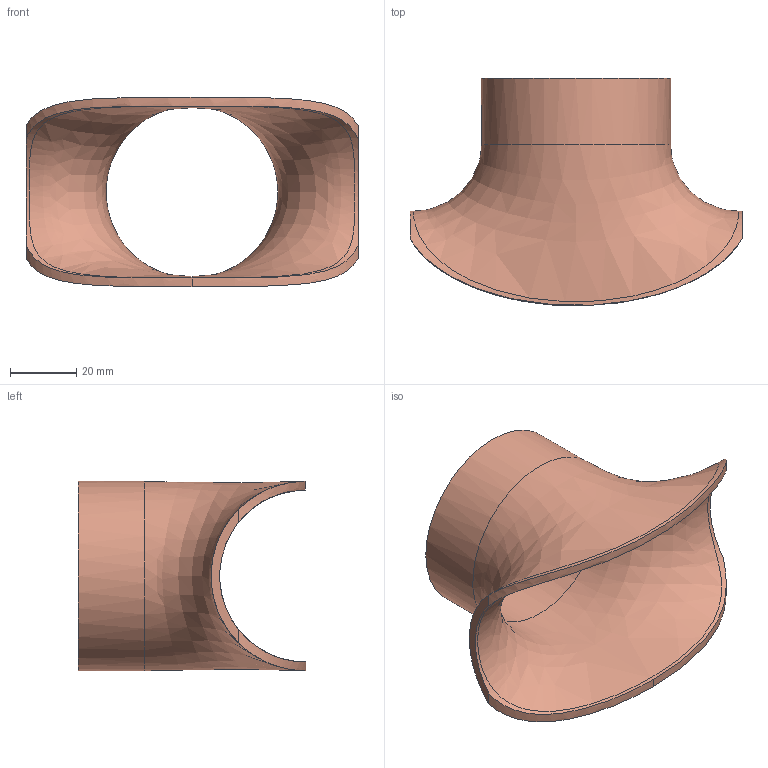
import cadquery as cq
import math

OUTER_DIAMETER = 57.0
BORE_DIAMETER = 51.8
LENGTH = 100.0
HEIGHT = 68.5
COLLAR_LENGTH = 20.0
FLARE_END_X = 49.0
RIM_HALF_LENGTH = 52.2
RIM_MARGIN = 1.1

OUTER_RADIUS = OUTER_DIAMETER / 2
BORE_RADIUS = BORE_DIAMETER / 2
COLLAR_START = HEIGHT - COLLAR_LENGTH
QUARTER_ARC_HANDLE = 4 / 3 * (math.sqrt(2) - 1)
SECTION_COUNT = 64
JOIN_TOLERANCE = 0.001


def main_pipe_point(x, y, radius, angle):
    """Point on the main pipe at x and y, above or below its axis like the angle."""
    z = math.sqrt(max(radius**2 - y**2, 0.0))
    return cq.Vector(x, y, math.copysign(z, math.sin(angle)))


def flare_end_point(angle, radius):
    """Point of the elliptical line along which the flare runs into the main pipe."""
    drop = math.sin(angle) ** 2
    x = FLARE_END_X * math.cos(angle) * math.sqrt(1 + drop)
    y = radius - (radius - RIM_MARGIN) * drop
    return main_pipe_point(x, y, radius, angle)


def rim_x(y, angle):
    """X of the elliptical rim at a given y."""
    x = RIM_HALF_LENGTH * math.sqrt(max(1 - (1 - y / OUTER_RADIUS) ** 2, 0.0))
    return math.copysign(x, math.cos(angle))


def rim_point(angle, radius):
    """Rim point on the main pipe; the rim is cut parallel to Z."""
    y = radius * math.cos(angle) ** 2
    return main_pipe_point(rim_x(y, angle), y, radius, angle)


def flare_curve(angle, radius):
    """Curve from the collar to the flare end, tangent to both tubes."""
    start = cq.Vector(radius * math.cos(angle), COLLAR_START, radius * math.sin(angle))
    end = flare_end_point(angle, radius)
    down = cq.Vector(0, -1, 0)
    outward = cq.Vector(
        math.cos(angle),
        -abs(math.sin(angle) * end.z) / radius,
        math.sin(angle) * end.y / radius,
    )
    start_handle = QUARTER_ARC_HANDLE * (start.y - end.y)
    end_handle = QUARTER_ARC_HANDLE * (end - start).dot(outward)
    return cq.Edge.makeBezier([start, start + down * start_handle, end - outward * end_handle, end])


def saddle_curve(angle, radius):
    """Curve on the main pipe from the flare end to the rim."""
    start = flare_end_point(angle, radius)
    end = rim_point(angle, radius)
    middle_y = (start.y + end.y) / 2
    middle_x = (start.x + end.x) / 2
    middle = main_pipe_point(middle_x, middle_y, radius, angle)
    return cq.Edge.makeBezier([start, middle * 2 - (start + end) * 0.5, end])


def wall_section(angle):
    """Closed outline of the flared wall at one angle around the branch."""
    outer_flare = flare_curve(angle, OUTER_RADIUS)
    outer_saddle = saddle_curve(angle, OUTER_RADIUS)
    inner_flare = flare_curve(angle, BORE_RADIUS)
    inner_saddle = saddle_curve(angle, BORE_RADIUS)
    rim = cq.Edge.makeLine(outer_saddle.endPoint(), inner_saddle.endPoint())
    collar_face = cq.Edge.makeLine(inner_flare.startPoint(), outer_flare.startPoint())
    return cq.Wire.assembleEdges(
        [outer_flare, outer_saddle, rim, inner_saddle, inner_flare, collar_face]
    )


def make_flare():
    """Flared wall lofted once around the branch, with its two ends cut flat."""
    step = 2 * math.pi / SECTION_COUNT
    sections = [wall_section(-math.pi / 2 + i * step) for i in range(SECTION_COUNT)]
    wall = cq.Solid.makeLoft(sections + sections[:1])
    envelope = cq.Workplane("XY").box(LENGTH, 2 * HEIGHT, 2 * OUTER_DIAMETER)
    return cq.Workplane(wall).intersect(envelope)


def make_collar():
    """Straight tube that carries the branch connection."""
    return (
        cq.Workplane("XZ", origin=(0, HEIGHT, 0))
        .circle(OUTER_RADIUS)
        .circle(BORE_RADIUS)
        .extrude(COLLAR_LENGTH)
    )


result = make_flare().union(make_collar(), tol=JOIN_TOLERANCE)